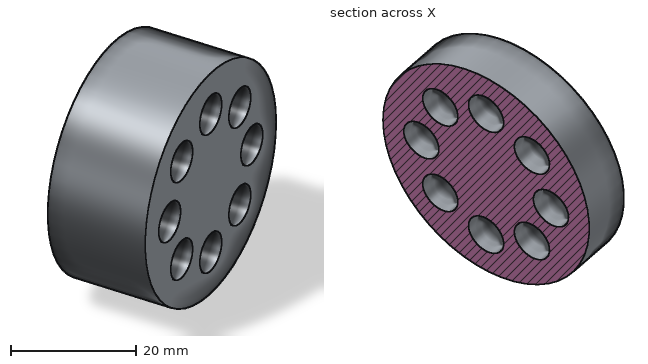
import cadquery as cq

disc_diameter = 41.8
disc_thickness = 18.0

hole_count = 8
hole_diameter = 7.0
hole_circle_diameter = 26.2


def make_disc():
    """Plain disc with one flat face on X = 0, extruded along +X."""
    return (
        cq.Workplane("YZ")
        .circle(disc_diameter / 2)
        .extrude(disc_thickness)
    )


def make_hole_ring():
    """Equally spaced cylinders parallel to X that cut the holes, one on the +Y axis."""
    return (
        cq.Workplane("YZ")
        .polarArray(hole_circle_diameter / 2, 0, 360, hole_count)
        .circle(hole_diameter / 2)
        .extrude(disc_thickness)
    )


result = make_disc().cut(make_hole_ring())